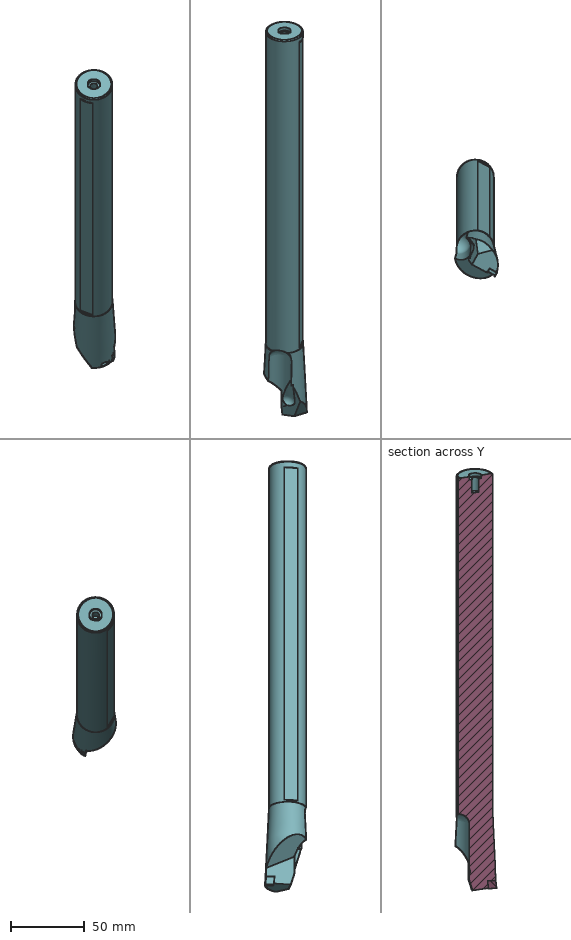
import cadquery as cq
import math

total_length = 304.2

shank_diameter = 25.3
shank_radius = shank_diameter / 2
shank_bottom = 56.3
shank_chamfer = 1.0
width_across_flats = 23.5
flat_distance = width_across_flats / 2
flat_bottom = 57.8
flat_top_margin = 5.0

inlet_radius = 4.3
inlet_depth = 2.5
bore_radius = 2.5
bore_depth = 12.2

head_bottom = 1.0
head_top_radius = 12.8
head_bottom_diameter = 30.7
head_bottom_radius = head_bottom_diameter / 2

groove_radius = 8.2
groove_axis_x = -12.8
groove_ball_z = 50.0

slant_bottom_x = -2.0
slant_top_x = -11.5
slant_top_z = 32.5

gullet_radius = 5.0
gullet_y = -4.3
gullet_bottom_z = 15.2
gullet_top_z = 30.5
gullet_lift = 0.5

seat_face_y = 1.0
runout_origin = (0, 0, 18.3)
runout_normal = (-0.5, 0.95, -1)
heel_points = [(-5.63, -13.5, 15.2), (-2.28, -7.3, head_bottom), (5.05, -14.3, head_bottom)]

insert_tip_x = head_bottom_radius
insert_tip_z = 0.0
insert_side = 5.8
insert_angle = 80
insert_lead = 5
insert_top_y = 0.0
insert_thickness = 2.5
screw_hole_radius = 1.5

cutter_size = 182.5


def half_space(origin, normal):
    """Large block on the side of a plane that the normal points to."""
    plane = cq.Plane(origin=origin, normal=normal)
    return cq.Workplane(plane).rect(cutter_size, cutter_size).extrude(cutter_size)


def capsule(start, end, radius):
    """Cylinder between two points, with a ball at the start."""
    axis = cq.Vector(*end) - cq.Vector(*start)
    rod = cq.Workplane(cq.Plane(origin=start, normal=axis.toTuple())).circle(radius).extrude(axis.Length)
    ball = cq.Workplane("XY").sphere(radius).translate(start)
    return rod.union(ball)


def make_shank():
    shank_length = total_length - shank_bottom
    shank = cq.Workplane("XY").workplane(offset=shank_bottom).circle(shank_radius).extrude(shank_length)
    shank = shank.faces(">Z").chamfer(shank_chamfer)
    flat_length = total_length - flat_top_margin - flat_bottom
    for side in (-1, 1):
        cutter = (
            cq.Workplane("XY")
            .box(2 * shank_radius, shank_radius, flat_length)
            .translate((0, side * (flat_distance + shank_radius / 2), flat_bottom + flat_length / 2))
        )
        shank = shank.cut(cutter)
    top = cq.Workplane("XY").workplane(offset=total_length)
    inlet = top.circle(inlet_radius).extrude(-inlet_depth)
    bore = top.circle(bore_radius).extrude(-bore_depth)
    return shank.cut(inlet).cut(bore)


def slant_x(z):
    """X position of the slanted relief face at height z."""
    slope = (slant_top_x - slant_bottom_x) / (slant_top_z - head_bottom)
    return slant_bottom_x + slope * (z - head_bottom)


def cut_head_end(head):
    """Slanted relief face, half-depth seat with its sloping run-out, and heel facet."""
    slant_normal = (head_bottom - slant_top_z, 0, slant_top_x - slant_bottom_x)
    head = head.cut(half_space((slant_bottom_x, 0, head_bottom), slant_normal))
    seat_space = half_space((0, seat_face_y, 0), (0, 1, 0))
    head = head.cut(seat_space.intersect(half_space(runout_origin, runout_normal)))
    corner, inner, outer = [cq.Vector(*point) for point in heel_points]
    heel_normal = (inner - corner).cross(outer - corner)
    return head.cut(half_space(corner.toTuple(), heel_normal.toTuple()))


def make_head():
    head = (
        cq.Workplane("XY").workplane(offset=head_bottom).circle(head_bottom_radius)
        .workplane(offset=shank_bottom - head_bottom).circle(head_top_radius)
        .loft(ruled=True)
    )
    return cut_head_end(head)


def cut_grooves(bar):
    groove = capsule((groove_axis_x, 0, groove_ball_z), (groove_axis_x, 0, 0), groove_radius)
    gullet_start = (slant_x(gullet_bottom_z) - gullet_lift, gullet_y, gullet_bottom_z)
    gullet_end = (slant_x(gullet_top_z) - gullet_lift, gullet_y, gullet_top_z)
    return bar.cut(groove).cut(capsule(gullet_start, gullet_end, gullet_radius))


bottom_edge_angle = math.radians(180 - insert_lead)
side_edge_angle = bottom_edge_angle - math.radians(insert_angle)
bottom_edge = (insert_side * math.cos(bottom_edge_angle), insert_side * math.sin(bottom_edge_angle))
side_edge = (insert_side * math.cos(side_edge_angle), insert_side * math.sin(side_edge_angle))
far_corner = (bottom_edge[0] + side_edge[0], bottom_edge[1] + side_edge[1])
insert_center = (insert_tip_x + far_corner[0] / 2, insert_tip_z + far_corner[1] / 2)


def insert_prism(start_y, end_y):
    """Rhombic prism between two Y positions."""
    return (
        cq.Workplane(cq.Plane(origin=(insert_tip_x, end_y, insert_tip_z), xDir=(1, 0, 0), normal=(0, -1, 0)))
        .polyline([(0, 0), bottom_edge, far_corner, side_edge]).close()
        .extrude(end_y - start_y)
    )


def screw_hole():
    """Cylinder along Y through the head, behind the insert."""
    return (
        cq.Workplane(cq.Plane(origin=(insert_center[0], 0, insert_center[1]), normal=(0, 1, 0)))
        .circle(screw_hole_radius).extrude(cutter_size / 2, both=True)
    )


def make_bar():
    bar = cut_grooves(make_shank().union(make_head()))
    pocket = insert_prism(insert_top_y - insert_thickness, head_bottom_radius)
    return bar.cut(pocket).cut(screw_hole())


def make_insert():
    return insert_prism(insert_top_y - insert_thickness, insert_top_y)


bar = make_bar()
insert = make_insert()

result = cq.Compound.makeCompound([bar.val(), insert.val()])